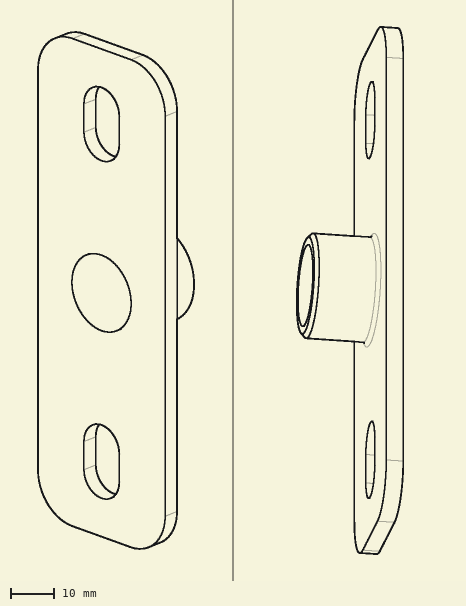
import cadquery as cq

plate_width = 40.0
plate_height = 120.0
plate_thickness = 4.0
corner_radius = 10.8

total_depth = 19.0
boss_diameter = 24.0
bore_diameter = 18.6
end_chamfer = 1.0
base_fillet = 1.0

slot_width = 11.0
slot_length = 18.0
slot_spacing = 83.0

boss_length = total_depth - plate_thickness


def back_workplane(y):
    """Workplane at depth y whose extrusions run toward +Y."""
    return cq.Workplane("XZ", origin=(0, y, 0)).transformed(rotate=(0, 180, 0))


def make_plate():
    plate = back_workplane(0).rect(plate_width, plate_height).extrude(plate_thickness)
    return plate.edges("|Y").fillet(corner_radius)


def make_boss():
    boss = back_workplane(plate_thickness).circle(boss_diameter / 2).extrude(boss_length)
    return boss.faces(">Y").chamfer(end_chamfer)


def make_slots():
    centers = [(0, -slot_spacing / 2), (0, slot_spacing / 2)]
    return back_workplane(0).pushPoints(centers).slot2D(slot_length, slot_width, 90).extrude(plate_thickness)


bore = back_workplane(0).circle(bore_diameter / 2).extrude(total_depth)

foot_margin = plate_thickness / 10
boss_foot_low = (-foot_margin, plate_thickness - foot_margin, -foot_margin)
boss_foot_high = (foot_margin, plate_thickness + foot_margin, foot_margin)
body = make_plate().union(make_boss())
body = body.edges(cq.selectors.BoxSelector(boss_foot_low, boss_foot_high)).fillet(base_fillet)

result = body.cut(make_slots()).cut(bore)